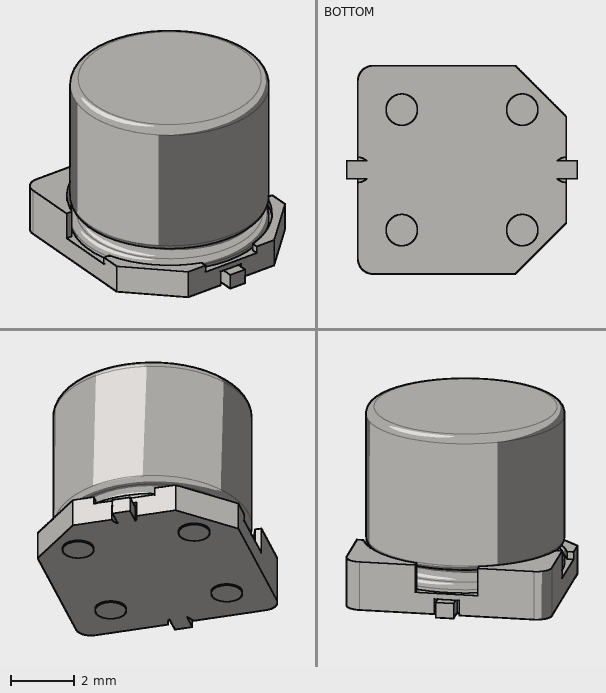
import cadquery as cq

base_side = 6.6
base_height = 1.6
round_corner_radius = 0.5
cut_corner_leg = 1.61
low_wall_height = 0.935

pocket_radius = 3.25
pocket_floor = 0.69
notch_width = 2.0

can_radius = 3.145
can_top_fillet = 0.25
groove_arc_radius = 0.2

lead_span = 7.3
lead_width = 0.58
lead_height = 0.505
lead_embedment = 0.73
recess_radius = 0.4

foot_diameter = 0.99
foot_height = 0.05
foot_offset = 1.905

total_height = 5.95

half_side = base_side / 2
can_top = total_height - foot_height


def make_base():
    """Square plate with two rounded and two cut corners, hollowed for the can."""
    base = cq.Workplane("XY").rect(base_side, base_side).extrude(base_height)
    base = base.edges("|Z and <X").fillet(round_corner_radius)
    base = base.edges("|Z and >X").chamfer(cut_corner_leg)

    above_floor = cq.Workplane("XY").workplane(offset=pocket_floor)
    base = base.cut(above_floor.circle(pocket_radius).extrude(base_height))
    for length_x, length_y in ((base_side, notch_width), (notch_width, base_side)):
        base = base.cut(above_floor.rect(length_x, length_y).extrude(base_height))

    low_corners = cq.Workplane("XY").box(half_side, base_side, base_height, centered=(False, True, False))
    low_corners = low_corners.translate((notch_width / 2, 0, low_wall_height))
    return base.cut(low_corners)


def make_can():
    """Revolved can with a rounded top rim and an S-shaped crimp groove near its foot."""
    arc = groove_arc_radius
    groove_top = base_height
    groove_middle = groove_top - 2 * arc
    groove_bottom = groove_top - 4 * arc
    lip_radius = can_radius - arc
    neck_radius = can_radius - 2 * arc
    rim_radius = can_radius - can_top_fillet
    profile = (
        cq.Workplane("XZ")
        .moveTo(0, pocket_floor)
        .lineTo(can_radius, pocket_floor)
        .lineTo(can_radius, groove_bottom)
        .radiusArc((lip_radius, groove_bottom + arc), -arc)
        .radiusArc((neck_radius, groove_middle), arc)
        .radiusArc((lip_radius, groove_top - arc), arc)
        .radiusArc((can_radius, groove_top), -arc)
        .lineTo(can_radius, can_top - can_top_fillet)
        .radiusArc((rim_radius, can_top), -can_top_fillet)
        .lineTo(0, can_top)
        .close()
    )
    return profile.revolve(360, (0, 0, 0), (0, 1, 0))


def make_recess(side):
    """Round cutter that clears the base wall around the lead on the given side."""
    return cq.Workplane("XY").center(side * half_side, 0).circle(recess_radius).extrude(lead_height)


def make_lead(side):
    """Lead on the -X (side = -1) or +X (side = 1) wall, running into the base."""
    outer_end = lead_span / 2
    inner_end = half_side - lead_embedment
    lead = cq.Workplane("XY").box(outer_end - inner_end, lead_width, lead_height, centered=(True, True, False))
    return lead.translate((side * (outer_end + inner_end) / 2, 0, 0))


def make_feet():
    """Four round feet on a square pattern."""
    return (
        cq.Workplane("XY")
        .rect(2 * foot_offset, 2 * foot_offset, forConstruction=True)
        .vertices()
        .circle(foot_diameter / 2)
        .extrude(-foot_height)
    )


result = make_base()
for side in (-1, 1):
    result = result.cut(make_recess(side)).union(make_lead(side))
result = result.union(make_can()).union(make_feet())